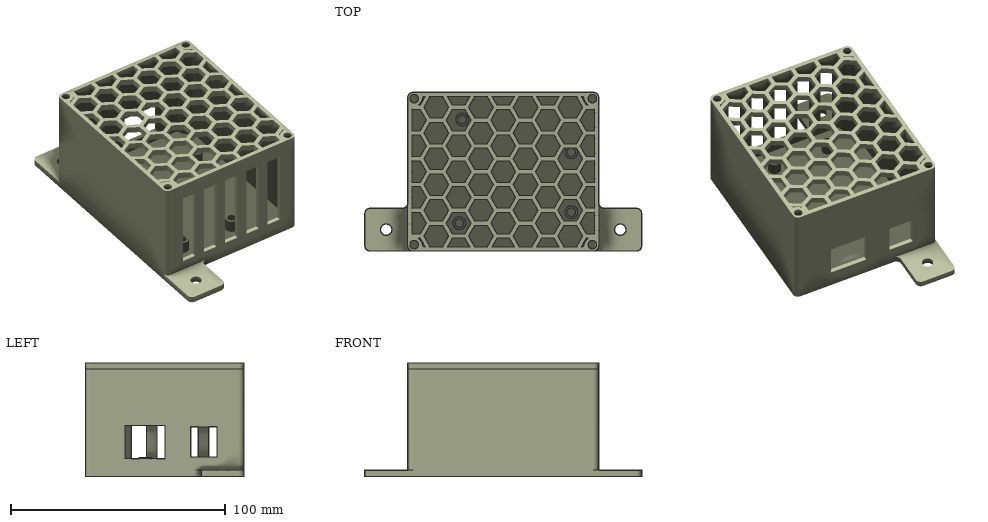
import cadquery as cq
import math

box_length = 89.0
box_width = 74.0
wall = 2.0
floor_thickness = 3.0
lid_thickness = 3.0
overall_height = 53.0
box_height = overall_height - lid_thickness
corner_radius = 2.5
cavity_length = box_length - 2 * wall
cavity_width = box_width - 2 * wall
cavity_height = box_height - floor_thickness

screw_inset = 3.0
screw_diameter = 4.0
screw_depth = 12.0
post_radius = 5.0
post_fillet = 1.0
screw_x = box_length / 2 - screw_inset
screw_y = box_width / 2 - screw_inset
screw_points = [(sx * screw_x, sy * screw_y) for sx in (-1, 1) for sy in (-1, 1)]

tab_length = 20.0
tab_width = 20.0
tab_thickness = 3.0
tab_corner_radius = 2.5
tab_hole_diameter = 5.2
tabs_span = box_length + 2 * tab_length
tab_center_y = -box_width / 2 + tab_width / 2
tab_hole_x = box_length / 2 + tab_length / 2

board_corner = (-34.36, -26.5)
board_holes = [(13.97, 2.54), (15.24, 50.8), (66.04, 7.62), (66.04, 35.56)]
standoff_diameter = 6.0
standoff_hole_diameter = 4.0
standoff_height = 6.0
standoff_points = [(board_corner[0] + x, board_corner[1] + y) for x, y in board_holes]

usb_window = (9.25, 8.4, 18.5, 15.3)
power_window = (-18.25, 9.2, 12.1, 14.0)

slot_count = 5
slot_width = 7.0
slot_pitch = 12.0
slot_margin = 5.0
slot_bottom = floor_thickness + slot_margin
slot_top = box_height - slot_margin

hex_pitch = 12.0
hex_gap = 2.0
hex_across_flats = hex_pitch - hex_gap
hex_across_corners = hex_across_flats / math.cos(math.pi / 6)
column_pitch = hex_pitch * math.cos(math.pi / 6)
side_columns = 4
side_rows = 3


def cavity_prism(height):
    """Rectangular prism with the four blended screw posts left out of its corners."""
    post_centers = cq.Workplane("XY").rect(cavity_length, cavity_width, forConstruction=True)
    posts = post_centers.vertices().circle(post_radius).extrude(height)
    prism = cq.Workplane("XY").rect(cavity_length, cavity_width).extrude(height).cut(posts)
    return prism.edges("|Z").fillet(post_fillet)


def mounting_tabs():
    """Strip under the box whose two ends are the mounting tabs."""
    return (
        cq.Workplane("XY")
        .center(0, tab_center_y)
        .rect(tabs_span, tab_width)
        .extrude(tab_thickness)
        .edges("|Z")
        .fillet(tab_corner_radius)
    )


def blend_tabs(body):
    """Round the inner corners where the rear edges of the tabs meet the box sides."""
    tab_rear = tab_center_y + tab_width / 2
    for side in (-1, 1):
        corner = cq.NearestToPointSelector((side * box_length / 2, tab_rear, tab_thickness / 2))
        body = body.edges("|Z").edges(corner).fillet(tab_corner_radius)
    return body


def wall_window(center_y, bottom, width, height):
    """Cutter for a rectangular window through the -X wall."""
    cutter = cq.Workplane("XY").box(2 * wall, width, height, centered=(True, True, False))
    return cutter.translate((-(box_length - wall) / 2, center_y, bottom))


def vent_slots():
    """Cutters for the row of upright slots through the +X wall."""
    return (
        cq.Workplane("XY")
        .rarray(1, slot_pitch, 1, slot_count)
        .rect(2 * wall, slot_width)
        .extrude(slot_top - slot_bottom)
        .translate(((box_length - wall) / 2, 0, slot_bottom))
    )


def make_enclosure():
    body = cq.Workplane("XY").rect(box_length, box_width).extrude(box_height)
    body = body.edges("|Z").fillet(corner_radius)
    body = blend_tabs(body.union(mounting_tabs()))
    body = body.cut(cavity_prism(cavity_height).translate((0, 0, floor_thickness)))

    floor_plane = cq.Workplane("XY").workplane(offset=floor_thickness)
    standoff_places = floor_plane.pushPoints(standoff_points)
    standoffs = standoff_places.circle(standoff_diameter / 2).extrude(standoff_height)
    bores = standoff_places.circle(standoff_hole_diameter / 2).extrude(standoff_height)
    body = body.union(standoffs).cut(bores)

    body = body.cut(wall_window(*usb_window)).cut(wall_window(*power_window)).cut(vent_slots())

    tab_holes = (
        cq.Workplane("XY")
        .pushPoints([(-tab_hole_x, tab_center_y), (tab_hole_x, tab_center_y)])
        .circle(tab_hole_diameter / 2)
        .extrude(tab_thickness)
    )
    screw_holes = (
        cq.Workplane("XY")
        .workplane(offset=box_height - screw_depth)
        .pushPoints(screw_points)
        .circle(screw_diameter / 2)
        .extrude(screw_depth)
    )
    return body.cut(tab_holes).cut(screw_holes)


def honeycomb():
    """Hexagonal prisms in staggered columns, trimmed to the outline of the cavity."""
    centers = []
    for column in range(-side_columns, side_columns + 1):
        stagger = hex_pitch / 2 if column % 2 else 0
        for row in range(-side_rows, side_rows + 1):
            centers.append((column * column_pitch, row * hex_pitch - stagger))
    cells = cq.Workplane("XY").pushPoints(centers).polygon(6, hex_across_corners).extrude(lid_thickness)
    return cells.intersect(cavity_prism(lid_thickness))


def make_lid():
    plate = cq.Workplane("XY").rect(box_length, box_width).extrude(lid_thickness)
    plate = plate.edges("|Z").fillet(corner_radius)
    screw_holes = cq.Workplane("XY").pushPoints(screw_points).circle(screw_diameter / 2).extrude(lid_thickness)
    return plate.cut(honeycomb()).cut(screw_holes).translate((0, 0, box_height))


enclosure = make_enclosure()
lid = make_lid()

result = cq.Compound.makeCompound([enclosure.val(), lid.val()])